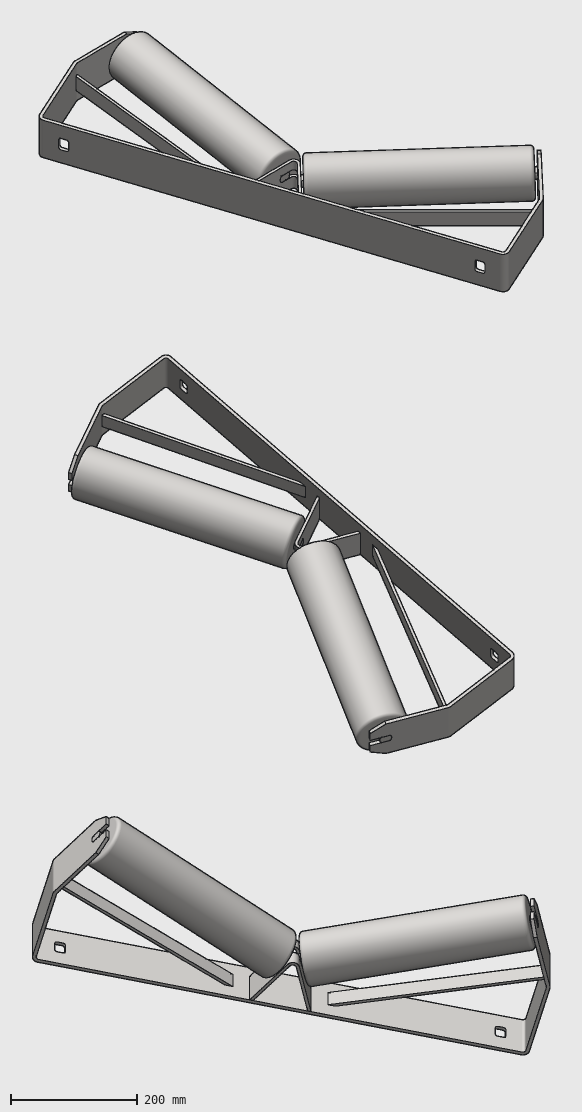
import cadquery as cq
import math

FRAME_WIDTH = 810.0
FRAME_HEIGHT = 80.0
STRIP = 6.0
CORNER_RADIUS = 11.0
KINK_RADIUS = 13.0
KINK_Y = 146.0
LEAN_DEGREES = 25.3
ARM_LENGTH = 132.0
ARM_CHAMFER_LENGTH = 26.0
ARM_CHAMFER_HEIGHT = 15.0

MOUNT_SLOT_X = 359.0
MOUNT_SLOT_WIDTH = 17.0
MOUNT_SLOT_HEIGHT = 24.0
MOUNT_SLOT_RADIUS = 4.0

ROLLER_DIAMETER = 89.0
ROLLER_FILLET = 6.0
END_GAP = 4.5
SHAFT_DIAMETER = 20.0
SHAFT_FLATS = 14.0
TILT_DEGREES = 1.04
AXIS_OFFSET = 65.1
OUTER_END_Z = 39.6

BRACKET_HALF_SPAN = 50.0
BRACKET_TOP_Y = 97.5
BRACKET_HEIGHT = 58.0
BRACKET_STRIP = 5.0

BRACE_STRIP = 5.0
BRACE_HEIGHT = 30.0
BRACE_FOOT_X = 77.5

lean = math.radians(LEAN_DEGREES)
tilt = math.radians(TILT_DEGREES)
half_width = FRAME_WIDTH / 2
middle_z = FRAME_HEIGHT / 2

axis_x = math.cos(lean)
axis_y = -math.sin(lean)
arm_x = math.sin(lean)
arm_y = math.cos(lean)

arm_face = -half_width * axis_x + KINK_Y * axis_y
bracket_face = -BRACKET_HALF_SPAN * axis_x + STRIP * axis_y


def mirrored(body):
    """The matching body on the right-hand side."""
    return body.mirror("YZ")


def plane_across_axis(along):
    """Plane square to the left roller axis, with its local X pointing up the arm."""
    x = along * axis_x + AXIS_OFFSET * arm_x
    y = along * axis_y + AXIS_OFFSET * arm_y
    z = OUTER_END_Z - (along - arm_face) * math.tan(tilt)
    normal = (axis_x * math.cos(tilt), axis_y * math.cos(tilt), -math.sin(tilt))
    return cq.Plane(origin=(x, y, z), xDir=(arm_x, arm_y, 0), normal=normal)


def make_shaft(start, end):
    """Round bar with two flats, between two distances along the left roller axis."""
    plane = plane_across_axis(start)
    length = (end - start) / math.cos(tilt)
    bar = cq.Workplane(plane).circle(SHAFT_DIAMETER / 2).extrude(length)
    flats = cq.Workplane(plane).rect(SHAFT_DIAMETER, SHAFT_FLATS).extrude(length)
    return bar.intersect(flats)


def make_slot_cutter(face):
    """Open-topped slot through a strip, with a floor that fits the underside of the shaft."""
    start = face - 4 * STRIP
    end = face + 4 * STRIP
    reach = 3 * SHAFT_DIAMETER
    opening = (
        cq.Workplane(plane_across_axis(start))
        .center(reach / 2, 0)
        .rect(reach, SHAFT_FLATS)
        .extrude((end - start) / math.cos(tilt))
    )
    return make_shaft(start, end).union(opening)


def make_roller():
    start = arm_face + STRIP + END_GAP
    length = (bracket_face - END_GAP - start) / math.cos(tilt)
    barrel = (
        cq.Workplane(plane_across_axis(start))
        .circle(ROLLER_DIAMETER / 2)
        .extrude(length)
        .edges()
        .fillet(ROLLER_FILLET)
    )
    return barrel.union(make_shaft(arm_face, bracket_face + BRACKET_STRIP))


def make_tip_clip(tip_x, tip_y):
    """Two wedges that clip the upper and lower corners of the left arm tip."""
    plane = cq.Plane(origin=(tip_x, tip_y, middle_z), xDir=(arm_x, arm_y, 0), normal=(axis_x, axis_y, 0))
    clip = cq.Workplane(plane)
    for side in (-1, 1):
        corner = [
            (0, side * middle_z),
            (-ARM_CHAMFER_LENGTH, side * middle_z),
            (0, side * (middle_z - ARM_CHAMFER_HEIGHT)),
        ]
        clip = clip.polyline(corner).close()
    return clip.extrude(STRIP)


def make_mount_slots():
    return (
        cq.Workplane("XZ")
        .pushPoints([(-MOUNT_SLOT_X, middle_z), (MOUNT_SLOT_X, middle_z)])
        .rect(MOUNT_SLOT_WIDTH, MOUNT_SLOT_HEIGHT)
        .extrude(-STRIP)
        .edges("|Y")
        .fillet(MOUNT_SLOT_RADIUS)
    )


def round_upright_edge(body, x, y, radius):
    """Fillet the vertical edge that stands at a plan point."""
    near = cq.selectors.BoxSelector((x - 1, y - 1, -1), (x + 1, y + 1, FRAME_HEIGHT + 1))
    return body.edges("|Z").edges(near).fillet(radius)


def make_frame():
    tip_x = -half_width + ARM_LENGTH * arm_x
    tip_y = KINK_Y + ARM_LENGTH * arm_y
    inner_x = half_width - STRIP
    inner_kink_y = KINK_Y - STRIP * math.tan(lean / 2)
    left = [
        (-half_width, 0),
        (-half_width, KINK_Y),
        (tip_x, tip_y),
        (tip_x + STRIP * axis_x, tip_y + STRIP * axis_y),
        (-inner_x, inner_kink_y),
        (-inner_x, STRIP),
    ]
    right = [(-x, y) for x, y in reversed(left)]
    frame = cq.Workplane("XY").polyline(left + right).close().extrude(FRAME_HEIGHT)
    for side in (-1, 1):
        frame = round_upright_edge(frame, side * half_width, 0, CORNER_RADIUS)
        frame = round_upright_edge(frame, side * inner_x, STRIP, CORNER_RADIUS - STRIP)
        frame = round_upright_edge(frame, side * half_width, KINK_Y, KINK_RADIUS)
        frame = round_upright_edge(frame, side * inner_x, inner_kink_y, KINK_RADIUS - STRIP)

    frame = frame.cut(make_mount_slots())
    for cutter in (make_tip_clip(tip_x, tip_y), make_slot_cutter(arm_face)):
        frame = frame.cut(cutter).cut(mirrored(cutter))
    return frame


def make_bracket():
    leg_distance = BRACKET_HALF_SPAN * math.cos(lean) + STRIP * math.sin(lean)
    outer_radius = (leg_distance - BRACKET_TOP_Y * math.sin(lean)) / (1 - math.sin(lean))
    centre_y = BRACKET_TOP_Y - outer_radius
    inner_radius = outer_radius - BRACKET_STRIP
    inner_foot = BRACKET_HALF_SPAN - BRACKET_STRIP / math.cos(lean)

    def bend_end(radius):
        return radius * math.cos(lean), centre_y + radius * math.sin(lean)

    outer_x, outer_y = bend_end(outer_radius)
    inner_x, inner_y = bend_end(inner_radius)
    bracket = (
        cq.Workplane("XY")
        .moveTo(-BRACKET_HALF_SPAN, STRIP)
        .lineTo(-outer_x, outer_y)
        .threePointArc((0, BRACKET_TOP_Y), (outer_x, outer_y))
        .lineTo(BRACKET_HALF_SPAN, STRIP)
        .lineTo(inner_foot, STRIP)
        .lineTo(inner_x, inner_y)
        .threePointArc((0, BRACKET_TOP_Y - BRACKET_STRIP), (-inner_x, inner_y))
        .lineTo(-inner_foot, STRIP)
        .close()
        .extrude(BRACKET_HEIGHT)
    )
    cutter = make_slot_cutter(bracket_face)
    return bracket.cut(cutter).cut(mirrored(cutter))


def make_brace(frame):
    """Left brace, its upper end trimmed to the inside of the frame bend."""
    top_x = -half_width + STRIP
    slope = math.atan2(KINK_Y - STRIP, -BRACE_FOOT_X - top_x)
    outline = [
        (top_x, KINK_Y),
        (-BRACE_FOOT_X, STRIP),
        (-BRACE_FOOT_X - BRACE_STRIP / math.sin(slope), STRIP),
        (top_x, KINK_Y - BRACE_STRIP / math.cos(slope)),
    ]
    base = cq.Workplane("XY").workplane(offset=middle_z - BRACE_HEIGHT / 2)
    return base.polyline(outline).close().extrude(BRACE_HEIGHT).cut(frame)


frame = make_frame()
bracket = make_bracket()
roller = make_roller()
brace = make_brace(frame)
bodies = [frame, bracket]
for left_body in (roller, brace):
    bodies += [left_body, mirrored(left_body)]
result = cq.Compound.makeCompound([body.val() for body in bodies])